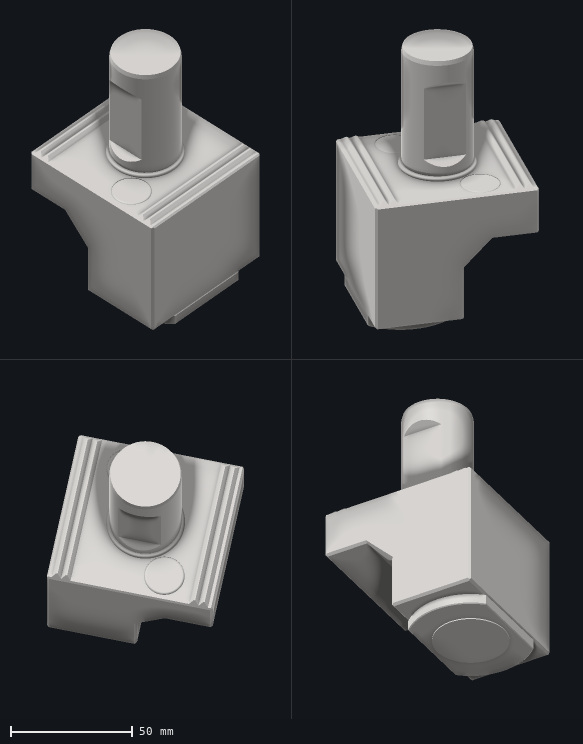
import cadquery as cq
import math


body_length = 70.0
body_width = 65.0
body_bottom = -56.8
wing_bottom = -20.8
leg_left = -3.0
slope_run = 12.0
edge_chamfer = 1.0
seat_chamfer = 0.7

tooth_height = 1.5
tooth_base = 4.0
tooth_crest = 0.6
tooth_pitch = 4.0
tooth_pair_center = 29.0

shank_diameter = 30.0
shank_top = 55.0
shank_chamfer_height = 1.9
shank_lead_angle = 15.0
undercut_top = 3.1
root_depth = 1.0
flat_distance = 12.0
flat_bottom = 9.0
flat_top = 42.0

rim_diameter = 2.0
rim_radius = rim_diameter / 2
collar_flat_radius = 15.35
collar_top = 1.6
port_diameter = 16.9
port_depth = 0.3
port_cap_top = 0.25
port_circle_radius = 25.0
port_angles = (120.0, 300.0)

plug_radius = 26.75
plug_flat_width = 37.5
plug_bottom = -61.5
plug_chamfer = 0.4
disc_diameter = 32.0
part_bottom = -62.0

body_right = body_length / 2
leg_center = (leg_left + body_right) / 2
shank_radius = shank_diameter / 2
lead_slope = math.tan(math.radians(shank_lead_angle))


def body_outline(inset):
    """Stepped outline; its faces move inward by inset, the slope by inset along X."""
    left = -body_right + inset
    right = body_right - inset
    bottom = body_bottom + inset
    under_wing = wing_bottom + inset
    beside_leg = leg_left + inset
    return [
        (left, tooth_height),
        (left, under_wing),
        (leg_left - slope_run, under_wing),
        (beside_leg, wing_bottom - slope_run),
        (beside_leg, bottom),
        (right, bottom),
        (right, tooth_height),
    ]


def make_prism(inset, half_width):
    """Body outline extruded evenly to both sides of the XZ plane."""
    outline = cq.Workplane("XZ").polyline(body_outline(inset)).close()
    return outline.extrude(half_width, both=True)


def make_edge_bevel():
    """Ruled skirt that narrows the outline toward the +Y face."""
    start_y = body_width / 2 - edge_chamfer
    return (
        cq.Workplane("XZ", origin=(0, start_y, 0))
        .polyline(body_outline(0))
        .close()
        .workplane(offset=-edge_chamfer)
        .polyline(body_outline(edge_chamfer))
        .close()
        .loft(ruled=True)
    )


def make_body():
    """Stepped block, beveled around both Y faces and along its outer lower edges."""
    block = make_prism(0, body_width / 2)
    lower_edges = block.edges("|Y and (not >Z)").edges("<X or <Z")
    block = lower_edges.chamfer(edge_chamfer)
    bevel = make_edge_bevel()
    envelope = make_prism(0, body_width / 2 - edge_chamfer)
    envelope = envelope.union(bevel).union(bevel.mirror("XZ"))
    return block.intersect(envelope)


def make_top_bevel():
    """Block whose top edges carry the bevel around the seating face."""
    bevel = tooth_height + seat_chamfer
    height = tooth_height - body_bottom
    envelope = cq.Workplane("XY", origin=(0, 0, body_bottom)).rect(body_length, body_width)
    return envelope.extrude(height).faces(">Z").chamfer(bevel)


def make_serrations():
    """Four trapezoidal teeth along Y, standing on the seating floor."""
    teeth = cq.Workplane("XY")
    for side in (-1, 1):
        for offset in (-tooth_pitch / 2, tooth_pitch / 2):
            x = side * tooth_pair_center + offset
            profile = [
                (x - tooth_base / 2, 0),
                (x + tooth_base / 2, 0),
                (x + tooth_crest / 2, tooth_height),
                (x - tooth_crest / 2, tooth_height),
            ]
            tooth = cq.Workplane("XZ").polyline(profile).close().extrude(body_width / 2, both=True)
            teeth = teeth.add(tooth)
    return teeth.combine()


def make_shank():
    """Turned shank, rooted in the body, with a pair of flats that run out at 45 degrees."""
    top_radius = shank_radius - shank_chamfer_height * lead_slope
    foot_radius = shank_radius - undercut_top * lead_slope
    profile = [
        (0, -root_depth),
        (foot_radius, -root_depth),
        (foot_radius, 0),
        (shank_radius, undercut_top),
        (shank_radius, shank_top - shank_chamfer_height),
        (top_radius, shank_top),
        (0, shank_top),
    ]
    shank = cq.Workplane("XZ").polyline(profile).close().revolve(360, (0, 0), (0, 1))
    depth = shank_radius - flat_distance
    notch = [
        (flat_distance, flat_bottom),
        (shank_radius, flat_bottom - depth),
        (shank_radius, flat_top + depth),
        (flat_distance, flat_top),
    ]
    cutter = cq.Workplane("YZ").polyline(notch).close().extrude(shank_radius, both=True)
    return shank.cut(cutter).cut(cutter.mirror("XZ"))


def make_rounded_disc(flat_radius, top):
    """Disc around the Z axis with a half-round rim outside its flat top."""
    bottom = top - rim_diameter
    section = (
        cq.Workplane("XZ")
        .moveTo(0, bottom)
        .lineTo(flat_radius, bottom)
        .threePointArc((flat_radius + rim_radius, top - rim_radius), (flat_radius, top))
        .lineTo(0, top)
        .close()
    )
    return section.revolve(360, (0, 0), (0, 1))


def add_port_cap(body, angle):
    """Shallow counterbore in the seating floor, filled by a disc that stands slightly proud."""
    x = port_circle_radius * math.cos(math.radians(angle))
    y = port_circle_radius * math.sin(math.radians(angle))
    bore = cq.Workplane("XY", origin=(x, y, -port_depth)).circle(port_diameter / 2).extrude(port_depth)
    cap = make_rounded_disc(port_diameter / 2 - rim_radius, port_cap_top)
    return body.cut(bore).union(cap.translate((x, y, 0)))


def make_plug():
    """Round plug with two flats under the leg, and a thin disc below it."""
    height = body_bottom - plug_bottom
    start = cq.Workplane("XY", origin=(leg_center, 0, plug_bottom))
    plug = start.circle(plug_radius).extrude(height)
    plug = plug.intersect(start.rect(plug_flat_width, 2 * plug_radius).extrude(height))
    plug = plug.faces("<Z").chamfer(plug_chamfer)
    disc = cq.Workplane("XY", origin=(leg_center, 0, part_bottom)).circle(disc_diameter / 2)
    return plug.union(disc.extrude(plug_bottom - part_bottom))


def make_seat():
    """Body with the beveled seating face cleared down to its floor between the teeth."""
    beveled = make_body().intersect(make_top_bevel())
    clearance = cq.Workplane("XY").rect(body_length, body_width).extrude(tooth_height)
    return beveled.cut(clearance.cut(make_serrations()))


result = make_seat()
for port_angle in port_angles:
    result = add_port_cap(result, port_angle)
result = result.union(make_rounded_disc(collar_flat_radius, collar_top))
result = result.union(make_shank()).union(make_plug())